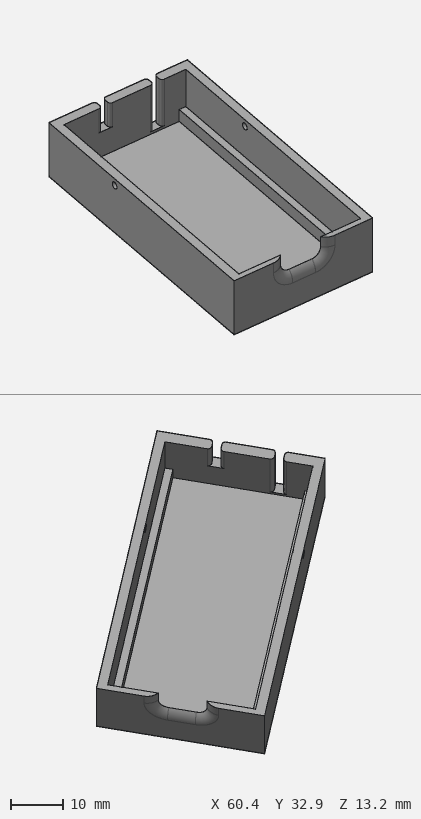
import cadquery as cq

LENGTH = 60.4
WIDTH = 32.9
HEIGHT = 13.2

SLOTTED_WALL = 2.25
SCOOPED_WALL = 1.2
SIDE_WALL = 2.0
FLOOR = 1.2

LEDGE_WIDTH = 1.6
LEDGE_TOP = 4.1

CABLE_SLOTS = [(7.75, 1.8), (-4.5, 7.3)]
SLOT_WIDTH = 1.8
SLOT_ROUND = 0.7

SCOOP_CENTER_Y = 0.2
SCOOP_WIDTH = 8.0
SCOOP_DEPTH = 3.7
SCOOP_CORNER = 1.25
SCOOP_FLARE = 3.3
SCOOP_REACH = 4.85

PIN_DIAMETER = 1.5
PIN_X = -8.75
PIN_DROP = 1.65

CAVITY_LENGTH = LENGTH - SLOTTED_WALL - SCOOPED_WALL
CAVITY_WIDTH = WIDTH - 2 * SIDE_WALL
CAVITY_X = (SLOTTED_WALL - SCOOPED_WALL) / 2


def box_from(bottom, height, length, width, x=0.0, y=0.0):
    """Box centred on (x, y), rising from the given bottom height."""
    return cq.Workplane("XY", origin=(x, y, bottom)).rect(length, width).extrude(height)


def flared_scoop(body):
    """Cut a U-shaped scoop into the +X end and round its outer edge into a flare."""
    bottom = HEIGHT - SCOOP_DEPTH
    cutter = (
        box_from(bottom, SCOOP_DEPTH, SCOOP_REACH, SCOOP_WIDTH, (LENGTH - SCOOP_REACH) / 2, SCOOP_CENTER_Y)
        .edges("|X and <Z")
        .fillet(SCOOP_CORNER)
    )
    body = body.cut(cutter)
    rim_margin = 0.05
    scoop_edges = cq.selectors.BoxSelector(
        (LENGTH / 2 - rim_margin, SCOOP_CENTER_Y - SCOOP_WIDTH / 2 - rim_margin, bottom - rim_margin),
        (LENGTH / 2 + rim_margin, SCOOP_CENTER_Y + SCOOP_WIDTH / 2 + rim_margin, HEIGHT - rim_margin),
    )
    return body.edges(scoop_edges).fillet(SCOOP_FLARE)


def cavity():
    """Inner space: full width above the ledges, narrower between them."""
    upper = box_from(LEDGE_TOP, HEIGHT - LEDGE_TOP, CAVITY_LENGTH, CAVITY_WIDTH, CAVITY_X)
    lower = box_from(FLOOR, LEDGE_TOP - FLOOR, CAVITY_LENGTH, CAVITY_WIDTH - 2 * LEDGE_WIDTH, CAVITY_X)
    return upper.union(lower)


def cable_slot(center_y, bottom):
    """Slot cutter through the -X wall, widening in an arc at both wall faces."""
    outer = -LENGTH / 2
    inner = outer + SLOTTED_WALL
    half = SLOT_WIDTH / 2
    mouth = half + SLOT_ROUND
    return (
        cq.Workplane("XY", origin=(0, center_y, bottom))
        .moveTo(outer, -mouth)
        .radiusArc((outer + SLOT_ROUND, -half), SLOT_ROUND)
        .lineTo(inner - SLOT_ROUND, -half)
        .radiusArc((inner, -mouth), SLOT_ROUND)
        .lineTo(inner, mouth)
        .radiusArc((inner - SLOT_ROUND, half), SLOT_ROUND)
        .lineTo(outer + SLOT_ROUND, half)
        .radiusArc((outer, mouth), SLOT_ROUND)
        .close()
        .extrude(HEIGHT - bottom)
    )


def pin_holes():
    """One cylinder spanning both long walls."""
    return (
        cq.Workplane("XZ", origin=(PIN_X, 0, HEIGHT - PIN_DROP))
        .circle(PIN_DIAMETER / 2)
        .extrude(WIDTH / 2, both=True)
    )


result = flared_scoop(box_from(0, HEIGHT, LENGTH, WIDTH))
result = result.cut(cavity())
for slot_y, slot_bottom in CABLE_SLOTS:
    result = result.cut(cable_slot(slot_y, slot_bottom))
result = result.cut(pin_holes())